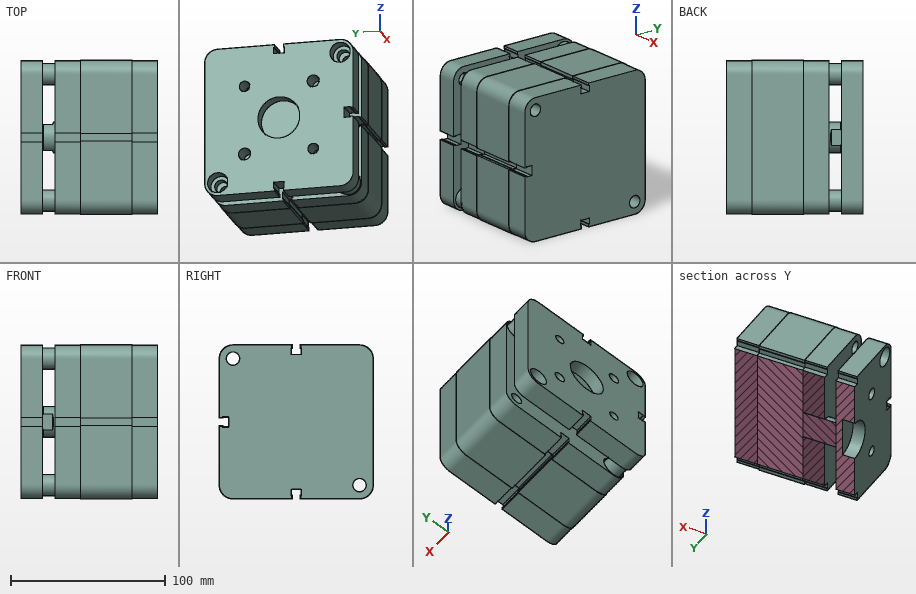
import cadquery as cq


PLATE_LENGTH = 14
GAP = 8
COVER_LENGTH = 16.5
TOTAL_LENGTH = 88.5

PLATE_END = PLATE_LENGTH
FRONT_COVER_START = PLATE_END + GAP
BARREL_START = FRONT_COVER_START + COVER_LENGTH
REAR_COVER_START = TOTAL_LENGTH - COVER_LENGTH
BARREL_LENGTH = REAR_COVER_START - BARREL_START

BARREL_SIZE = 100
COVER_SIZE = 99.5
CORNER_OFFSET = 41

SLOT_DEPTH = 6
SLOT_BOTTOM = COVER_SIZE / 2 - SLOT_DEPTH
BARREL_SLOT_MOUTH = 5
BARREL_SLOT_INNER = 6
BARREL_LIP_THICKNESS = 2.5
COVER_SLOT_MOUTH = 6
COVER_SLOT_INNER = 7
COVER_LIP_THICKNESS = 1.9
SLOT_ANGLES = (0, 90, 180)

BOLT_DIAMETER = 8.5
BOLT_HEAD_DIAMETER = 13.5
BOLT_HEAD_DEPTH = 8.5
BOLT_POINTS = [(-CORNER_OFFSET, CORNER_OFFSET), (CORNER_OFFSET, -CORNER_OFFSET)]

GUIDE_DIAMETER = 14
GUIDE_HOLE_DIAMETER = 16
GUIDE_POINTS = [(CORNER_OFFSET, CORNER_OFFSET), (-CORNER_OFFSET, -CORNER_OFFSET)]

CENTRE_HOLE_DIAMETER = 28
CENTRE_HOLE_DEPTH = 9
MOUNT_OFFSET = 23
DOWEL_DIAMETER = 7
SCREW_DIAMETER = 8
DOWEL_POINTS = [(MOUNT_OFFSET, MOUNT_OFFSET), (-MOUNT_OFFSET, -MOUNT_OFFSET)]
SCREW_POINTS = [(-MOUNT_OFFSET, MOUNT_OFFSET), (MOUNT_OFFSET, -MOUNT_OFFSET)]

ROD_DIAMETER = 20
ROD_CHAMFER = 0.5
FLAT_WIDTH = 17
FLAT_LENGTH = 6.4
FLAT_RUNOUT = 0.8


def cylinders(x_start, length, diameter, points):
    """Cylinders along X, centred on the given (Y, Z) points."""
    return cq.Workplane("YZ", origin=(x_start, 0, 0)).pushPoints(points).circle(diameter / 2).extrude(length)


def slot_cutter(x_start, length, mouth, inner, lip_bottom):
    """T-slot open to the +Z side."""
    outside = BARREL_SIZE
    return (
        cq.Workplane("YZ", origin=(x_start, 0, 0))
        .moveTo(-mouth / 2, outside)
        .lineTo(-mouth / 2, lip_bottom)
        .lineTo(-inner / 2, lip_bottom)
        .lineTo(-inner / 2, SLOT_BOTTOM)
        .lineTo(inner / 2, SLOT_BOTTOM)
        .lineTo(inner / 2, lip_bottom)
        .lineTo(mouth / 2, lip_bottom)
        .lineTo(mouth / 2, outside)
        .close()
        .extrude(length)
    )


def slotted_block(x_start, length, size, mouth, inner, lip_thickness):
    """Rounded square block with three T-slots and the two bolt holes."""
    block = (
        cq.Workplane("YZ", origin=(x_start, 0, 0))
        .rect(size, size)
        .extrude(length)
        .edges("|X")
        .fillet(size / 2 - CORNER_OFFSET)
    )
    slot = slot_cutter(x_start, length, mouth, inner, size / 2 - lip_thickness)
    for angle in SLOT_ANGLES:
        block = block.cut(slot.rotate((0, 0, 0), (1, 0, 0), angle))
    return block.cut(cylinders(x_start, length, BOLT_DIAMETER, BOLT_POINTS))


def cover_block(x_start, length):
    """Block with the smaller outline and wider slots shared by the plate and both covers."""
    return slotted_block(x_start, length, COVER_SIZE, COVER_SLOT_MOUTH, COVER_SLOT_INNER, COVER_LIP_THICKNESS)


def make_guided_plate():
    """Yoke plate in one piece with its two guide rods, which reach through the front cover."""
    plate = cover_block(0, PLATE_LENGTH)
    plate = plate.cut(cylinders(0, BOLT_HEAD_DEPTH, BOLT_HEAD_DIAMETER, BOLT_POINTS))
    plate = plate.cut(cylinders(0, CENTRE_HOLE_DEPTH, CENTRE_HOLE_DIAMETER, [(0, 0)]))
    plate = plate.cut(cylinders(0, PLATE_LENGTH, DOWEL_DIAMETER, DOWEL_POINTS))
    plate = plate.cut(cylinders(0, PLATE_LENGTH, SCREW_DIAMETER, SCREW_POINTS))
    return plate.union(cylinders(PLATE_END, BARREL_START - PLATE_END, GUIDE_DIAMETER, GUIDE_POINTS))


def make_piston_rod():
    """Rod from the plate through the front cover, with two wrench flats facing -Y and +Y."""
    rod = cylinders(PLATE_END, BARREL_START - PLATE_END, ROD_DIAMETER, [(0, 0)])
    rod = rod.faces("<X").chamfer(ROD_CHAMFER)
    flat_cutter = (
        cq.Workplane("XY", origin=(PLATE_END, 0, -ROD_DIAMETER / 2))
        .moveTo(0, FLAT_WIDTH / 2)
        .lineTo(FLAT_LENGTH, FLAT_WIDTH / 2)
        .lineTo(FLAT_LENGTH + FLAT_RUNOUT, ROD_DIAMETER / 2)
        .lineTo(0, ROD_DIAMETER / 2)
        .close()
        .extrude(ROD_DIAMETER)
    )
    return rod.cut(flat_cutter).cut(flat_cutter.mirror("XZ"))


def make_front_cover():
    cover = cover_block(FRONT_COVER_START, COVER_LENGTH)
    cover = cover.cut(cylinders(FRONT_COVER_START, COVER_LENGTH, GUIDE_HOLE_DIAMETER, GUIDE_POINTS))
    return cover.cut(cylinders(FRONT_COVER_START, COVER_LENGTH, ROD_DIAMETER, [(0, 0)]))


def make_barrel():
    return slotted_block(
        BARREL_START, BARREL_LENGTH, BARREL_SIZE, BARREL_SLOT_MOUTH, BARREL_SLOT_INNER, BARREL_LIP_THICKNESS
    )


def make_rear_cover():
    return cover_block(REAR_COVER_START, COVER_LENGTH)


guided_plate = make_guided_plate()
piston_rod = make_piston_rod()
front_cover = make_front_cover()
barrel = make_barrel()
rear_cover = make_rear_cover()

result = cq.Compound.makeCompound(
    [guided_plate.val(), piston_rod.val(), front_cover.val(), barrel.val(), rear_cover.val()]
)